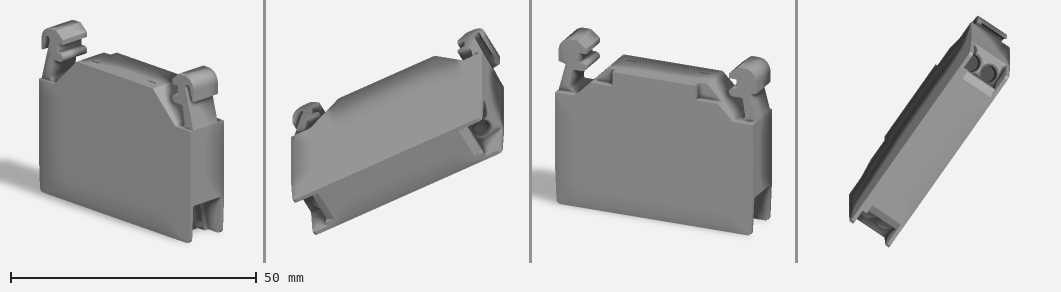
import cadquery as cq
import math

LENGTH = 44.0
WIDTH = 9.6
HEIGHT = 35.7
HALF = LENGTH / 2
SHELF_Z = 24.4
ROOF_Z = 30.95
SHELF_LENGTH = 4.4
SLOPE_FOOT_RADIUS = 0.83
ROOF_END = SHELF_LENGTH + ROOF_Z - SHELF_Z

WALL = 0.8
BAY_BACK_Y = 7.8
WALL_START_Z = 8.1
WALL_TAPER = 0.35
WALL_CORNER_RADIUS = 0.9

NOTCH_END = 12.8
NOTCH_Z = 27.8
SLOT_LENGTH = 2.2
SLOT_WIDTH = 0.5
SLOT_DEPTH = 0.5
SLOT_X = 8.2
SLOT_Y = 2.6

TILT = 15.0
LEAN = math.tan(math.radians(TILT))
CHEEK_FOOT = 3.8
BAY_FOOT = 5.9
SILL_Z = 1.8
SILL_LIP_Z = 0.8
SILL_UNDERSIDE_RUN = 1.55
WIRE_HOLE_DIAMETER = 3.5
WIRE_MOUTH_DIAMETER = 4.3
WIRE_MOUTH_DEPTH = 0.4
WIRE_HOLE_DEPTH = 5.0
WIRE_HOLE_SPACING = WIDTH / 2 - WALL

HOOK_RADIUS = 2.55
HOOK_FLAT_END = 4.2
NOSE_X = 6.1
NOSE_TOP_Z = 34.1
NOSE_BOTTOM_Z = 33.05
JAW_X = 4.45
TONGUE_TOP_Z = 30.95
TONGUE_BOTTOM_Z = 29.2
TONGUE_RADIUS = (TONGUE_TOP_Z - TONGUE_BOTTOM_Z) / 2
LEG_TOP_X = 3.1
LEG_FOOT_X = 2.35
LEG_FOOT_RADIUS = 1.0
HOOK_TIP_Z = 30.6
GROOVE_WIDTH = 1.36
GROOVE_TOP_Z = 33.9
WEB_THICKNESS = 1.05


def extrude_y(sketch, y_start, y_end):
    """Extrude a closed XZ outline from y_start to y_end."""
    return sketch.extrude(-(y_end - y_start)).translate((0, y_start, 0))


def outline(points):
    return cq.Workplane("XZ").polyline(points).close()


def both_ends(left):
    """The left-hand shape joined with its mirror image."""
    return left.union(left.mirror("YZ"))


def housing():
    points = [
        (-HALF + WALL_TAPER, 0), (HALF - WALL_TAPER, 0),
        (HALF, WALL_START_Z), (HALF, SHELF_Z), (HALF - SHELF_LENGTH, SHELF_Z),
        (HALF - ROOF_END, ROOF_Z), (-HALF + ROOF_END, ROOF_Z),
        (-HALF + SHELF_LENGTH, SHELF_Z), (-HALF, SHELF_Z), (-HALF, WALL_START_Z),
    ]
    body = extrude_y(outline(points), 0, WIDTH)
    body = body.edges("|Y").edges("<Z").fillet(WALL_CORNER_RADIUS)
    for side in (-1, 1):
        foot = (side * (HALF - SHELF_LENGTH), WIDTH / 2, SHELF_Z)
        body = body.edges(cq.NearestToPointSelector(foot)).fillet(SLOPE_FOOT_RADIUS)
    return body


def roof_notch():
    """Step cut into the rear top corner of a slope."""
    notch = cq.Workplane("XY").box(
        NOTCH_END, WIDTH - BAY_BACK_Y, ROOF_Z - NOTCH_Z, centered=False)
    return notch.translate((-HALF, BAY_BACK_Y, NOTCH_Z))


def roof_slot():
    slot = cq.Workplane("XY").box(SLOT_LENGTH, SLOT_WIDTH, SLOT_DEPTH)
    return slot.translate((-SLOT_X, SLOT_Y, ROOF_Z - SLOT_DEPTH / 2))


def ceiling_point(foot, foot_z):
    """Where a tilted face through (foot, foot_z) meets the ceiling; foot is from the end face."""
    z = (WALL_START_Z - LEAN * (foot - LEAN * foot_z)) / (1 + LEAN ** 2)
    return (-HALF + foot + LEAN * (z - foot_z), z)


def entry_recess():
    """Space between the side walls, in front of the cheek."""
    points = [
        (-HALF, 0), (-HALF + CHEEK_FOOT, 0),
        ceiling_point(CHEEK_FOOT, 0), (-HALF, WALL_START_Z),
    ]
    return extrude_y(outline(points), WALL, WIDTH - WALL)


def entry_bay():
    """Deeper space beside the cheek, above the sill, and the relief below the sill."""
    lip_x = -HALF + CHEEK_FOOT + LEAN * SILL_Z
    points = [
        (-HALF, SILL_Z), (-HALF + BAY_FOOT, SILL_Z),
        ceiling_point(BAY_FOOT, SILL_Z), (-HALF, WALL_START_Z),
    ]
    above = extrude_y(outline(points), WALL, BAY_BACK_Y)
    points = [
        (-HALF, 0), (lip_x + SILL_UNDERSIDE_RUN, 0),
        (lip_x, SILL_LIP_Z), (lip_x, SILL_Z), (-HALF, SILL_Z),
    ]
    below = extrude_y(outline(points), WALL, BAY_BACK_Y)
    return above.union(below)


def wire_holes():
    """Two blind holes with flared mouths, square to the tilted ceiling."""
    mouth_radius = WIRE_MOUTH_DIAMETER / 2
    hole_radius = WIRE_HOLE_DIAMETER / 2
    tilt = math.radians(TILT)
    rim_x, rim_z = ceiling_point(CHEEK_FOOT, 0)
    centre_x = rim_x - mouth_radius * math.cos(tilt)
    centre_z = rim_z + mouth_radius * math.sin(tilt)
    profile = [
        (0, 0), (mouth_radius, 0), (hole_radius, WIRE_MOUTH_DEPTH),
        (hole_radius, WIRE_HOLE_DEPTH), (0, WIRE_HOLE_DEPTH),
    ]
    hole = cq.Workplane("XZ").polyline(profile).close().revolve(360, (0, 0), (0, 1))
    hole = hole.rotate((0, 0, 0), (0, 1, 0), TILT)
    front = hole.translate((centre_x, (WIDTH - WIRE_HOLE_SPACING) / 2, centre_z))
    rear = hole.translate((centre_x, (WIDTH + WIRE_HOLE_SPACING) / 2, centre_z))
    between_walls = cq.Workplane("XY").box(LENGTH, WIDTH - 2 * WALL, HEIGHT)
    return front.union(rear).intersect(between_walls.translate((0, WIDTH / 2, HEIGHT / 2)))


def hook_groove():
    """Round-topped groove between the hook and the leg, in line with the leg's outer face."""
    tilt = math.radians(TILT)
    radius = GROOVE_WIDTH / 2
    length = HEIGHT - SHELF_Z
    round_z = GROOVE_TOP_Z - radius
    round_x = -HALF + LEAN * (round_z - SHELF_Z) - radius / math.cos(tilt)
    groove = (
        cq.Workplane("XZ").moveTo(-radius, -length).lineTo(-radius, 0)
        .threePointArc((0, radius), (radius, 0)).lineTo(radius, -length).close()
    )
    groove = extrude_y(groove, WALL, BAY_BACK_Y - WEB_THICKNESS)
    return groove.rotate((0, 0, 0), (0, 1, 0), TILT).translate((round_x, 0, round_z))


def clip():
    arc_mid = HOOK_RADIUS * (1 - math.sqrt(0.5))
    leg_meets_hook_z = (HOOK_TIP_Z + LEAN ** 2 * SHELF_Z) / (1 + LEAN ** 2)
    leg_meets_hook_x = LEAN * (leg_meets_hook_z - SHELF_Z)
    tongue_round_x = NOSE_X - TONGUE_RADIUS
    profile = (
        cq.Workplane("XZ").moveTo(0, SHELF_Z)
        .lineTo(leg_meets_hook_x, leg_meets_hook_z)
        .lineTo(0, HOOK_TIP_Z)
        .lineTo(0, HEIGHT - HOOK_RADIUS)
        .threePointArc((arc_mid, HEIGHT - arc_mid), (HOOK_RADIUS, HEIGHT))
        .lineTo(HOOK_FLAT_END, HEIGHT)
        .lineTo(NOSE_X, NOSE_TOP_Z)
        .lineTo(NOSE_X, NOSE_BOTTOM_Z)
        .lineTo(JAW_X, NOSE_BOTTOM_Z)
        .lineTo(JAW_X, TONGUE_TOP_Z)
        .lineTo(tongue_round_x, TONGUE_TOP_Z)
        .threePointArc(
            (NOSE_X, TONGUE_TOP_Z - TONGUE_RADIUS), (tongue_round_x, TONGUE_BOTTOM_Z))
        .lineTo(LEG_TOP_X, TONGUE_BOTTOM_Z)
        .lineTo(LEG_FOOT_X, SHELF_Z)
        .close()
    )
    solid = extrude_y(profile, WALL, BAY_BACK_Y).translate((-HALF, 0, 0))
    return solid.cut(hook_groove())


def foot_fillets(body):
    """Round the corner between each clip leg and its shelf."""
    for side in (-1, 1):
        foot = (side * (HALF - LEG_FOOT_X), (WALL + BAY_BACK_Y) / 2, SHELF_Z)
        body = body.edges(cq.NearestToPointSelector(foot)).fillet(LEG_FOOT_RADIUS)
    return body


cutters = [roof_notch(), roof_slot(), entry_recess(), entry_bay(), wire_holes()]
result = housing()
for cutter in cutters:
    result = result.cut(both_ends(cutter))
result = foot_fillets(result.union(both_ends(clip())))